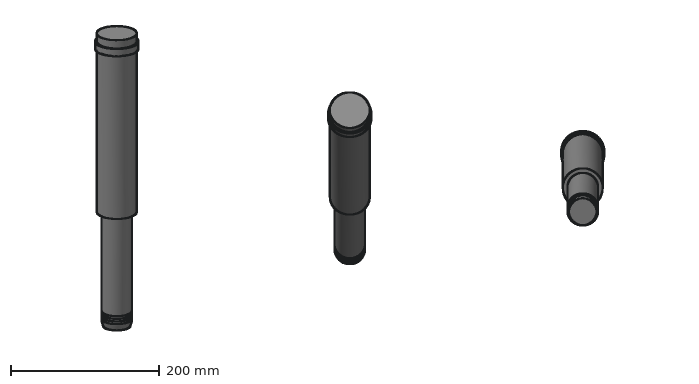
import cadquery as cq

total_length = 423.0
collar_diameter = 59.0
body_diameter = 54.0
shank_diameter = 42.0
tip_diameter = 37.2

step_height = 164.5
collar_top = total_length - 12.0
collar_thickness = 10.5
nose_height = 10.0

groove_width = 4.0
groove_pitch = 2 * groove_width
groove_depth = 0.5
groove_count = 2

nose_mid_height = nose_height / 2
nose_bulge = 0.5


def cylinder(diameter, bottom, top):
    return cq.Workplane("XY").workplane(offset=bottom).circle(diameter / 2).extrude(top - bottom)


def nose():
    """Nose that narrows along a slightly convex arc to a flat tip."""
    shank_radius = shank_diameter / 2
    tip_radius = tip_diameter / 2
    flank_radius = (shank_radius + tip_radius) / 2 + nose_bulge
    return (
        cq.Workplane("XZ")
        .lineTo(tip_radius, 0)
        .threePointArc((flank_radius, nose_mid_height), (shank_radius, nose_height))
        .lineTo(0, nose_height)
        .close()
        .revolve(360, (0, 0, 0), (0, 1, 0))
    )


def ring_groove(bottom):
    top = bottom + groove_width
    outer = cylinder(body_diameter, bottom, top)
    return outer.cut(cylinder(shank_diameter - 2 * groove_depth, bottom, top))


result = nose().union(cylinder(shank_diameter, nose_height, step_height))
result = result.union(cylinder(body_diameter, step_height, total_length))
result = result.union(cylinder(collar_diameter, collar_top - collar_thickness, collar_top))

for index in range(groove_count):
    groove_bottom = nose_height + index * groove_pitch
    result = result.cut(ring_groove(groove_bottom))